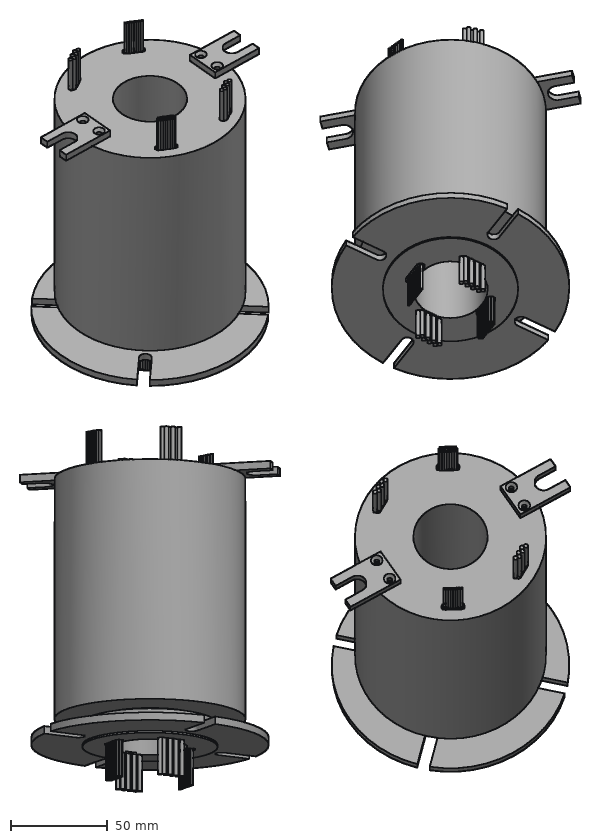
import cadquery as cq
import math

drum_height = 127.0
neck_height = 1.8
collar_height = 8.0
flange_thickness = 4.0
end_disc_thickness = 1.0
wire_length = 19.0

drum_diameter = 99.0
neck_diameter = 54.5
collar_diameter = 68.0
flange_diameter = 123.0
end_disc_diameter = 70.0
bore_diameter = 38.4

flange_slot_count = 4
flange_slot_width = 6.6
flange_slot_inner_radius = 39.6

tab_width = 19.6
tab_thickness = 4.0
tab_outer_y = 67.0
tab_inner_y = 36.5
fork_width = 9.5
fork_end_y = 52.0
screw_x = 6.35
screw_y = 41.0
screw_hole_diameter = 2.7
screw_sink_diameter = 6.0
screw_sink_angle = 90.0
screw_tap_diameter = 1.7
screw_tap_depth = 6.0

outlet_width = 4.1
outlet_depth = 1.0
wire_gap = 0.06
thick_wire_diameter = 2.2
thick_wire_stagger = 1.42
thin_wire_diameter = 1.2
top_outlet_radius = 41.2
top_outlet_angle = 30.0
top_outlet_length = 12.0
top_thick_wires = 6
top_thin_wires = 8
bottom_outlet_radius = 21.5
bottom_outlet_angle = 45.0
bottom_outlet_length = 15.0
bottom_thick_wires = 8
bottom_thin_wires = 11

drum_bottom = -drum_height
neck_bottom = drum_bottom - neck_height
collar_bottom = neck_bottom - collar_height
flange_bottom = collar_bottom - flange_thickness
end_disc_bottom = flange_bottom - end_disc_thickness


def disc(diameter, bottom, top):
    """Upright cylinder on the main axis between two levels."""
    return cq.Workplane("XY").workplane(offset=bottom).circle(diameter / 2).extrude(top - bottom)


def make_flange():
    """Flange with round-ended slots open to its rim, midway between the axes."""
    flange = disc(flange_diameter, flange_bottom, collar_bottom)
    inner_center = flange_slot_inner_radius + flange_slot_width / 2
    slot_reach = flange_diameter / 2
    slot = (
        cq.Workplane("XY")
        .workplane(offset=flange_bottom)
        .center(inner_center + slot_reach / 2, 0)
        .slot2D(slot_reach + flange_slot_width, flange_slot_width)
        .extrude(flange_thickness)
    )
    spacing = 360 / flange_slot_count
    for index in range(flange_slot_count):
        flange = flange.cut(slot.rotate((0, 0, 0), (0, 0, 1), spacing * (index + 0.5)))
    return flange


def make_core():
    """Drum, neck, collar, flange and end disc around the through bore."""
    core = disc(drum_diameter, drum_bottom, 0)
    core = core.union(disc(neck_diameter, neck_bottom, drum_bottom))
    core = core.union(disc(collar_diameter, collar_bottom, neck_bottom))
    core = core.union(make_flange())
    core = core.union(disc(end_disc_diameter, end_disc_bottom, flange_bottom))
    return core.cut(disc(bore_diameter, end_disc_bottom, 0))


def make_tab():
    """Forked tab on the +Y side, its fork open outward."""
    tab = (
        cq.Workplane("XY")
        .center(0, (tab_inner_y + tab_outer_y) / 2)
        .rect(tab_width, tab_outer_y - tab_inner_y)
        .extrude(tab_thickness)
    )
    arc_center_y = fork_end_y + fork_width / 2
    fork = (
        cq.Workplane("XY")
        .moveTo(-fork_width / 2, tab_outer_y)
        .lineTo(-fork_width / 2, arc_center_y)
        .threePointArc((0, fork_end_y), (fork_width / 2, arc_center_y))
        .lineTo(fork_width / 2, tab_outer_y)
        .close()
        .extrude(tab_thickness)
    )
    return (
        tab.cut(fork)
        .faces(">Z")
        .workplane(origin=(0, 0, tab_thickness))
        .pushPoints([(-screw_x, screw_y), (screw_x, screw_y)])
        .cskHole(screw_hole_diameter, screw_sink_diameter, screw_sink_angle)
    )


def make_tapped_holes():
    """Blind screw holes in the drum under the +Y tab."""
    return (
        cq.Workplane("XY")
        .pushPoints([(-screw_x, screw_y), (screw_x, screw_y)])
        .circle(screw_tap_diameter / 2)
        .extrude(-screw_tap_depth)
    )


def row_points(count, pitch, across=0):
    """Evenly spaced wire centres on one row, as (across, along) pairs."""
    return [(across, pitch * (index - (count - 1) / 2)) for index in range(count)]


def zigzag_points(count):
    """Thick wires side by side in a zigzag, the first one nearest the main axis."""
    spacing = thick_wire_diameter + wire_gap
    pitch = math.sqrt(spacing**2 - thick_wire_stagger**2)
    points = []
    for index, (_, along) in enumerate(row_points(count, pitch)):
        side = -1 if index % 2 == 0 else 1
        points.append((side * thick_wire_stagger / 2, along))
    return points


def packed_points(count):
    """Thin wires in three close-packed rows, the outer two one wire shorter."""
    pitch = thin_wire_diameter + wire_gap
    row_spacing = pitch * math.sqrt(3) / 2
    points = row_points(count, pitch)
    for across in (-row_spacing, row_spacing):
        points += row_points(count - 1, pitch, across)
    return points


def single_row_points(count):
    """Thin wires in one row on the middle of the outlet."""
    return row_points(count, thin_wire_diameter + wire_gap)


def make_bundle(points, diameter):
    """Wires that stand on the outlet floor and rise above Z = 0."""
    return (
        cq.Workplane("XY")
        .workplane(offset=-outlet_depth)
        .pushPoints(points)
        .circle(diameter / 2)
        .extrude(outlet_depth + wire_length)
    )


def make_outlets(length, radius, angle, thick_wires, thin_wires):
    """Pockets and wire bundles, one of each per quadrant, for an end face at Z = 0."""
    pocket = cq.Workplane("XY").slot2D(length, outlet_width, 90).extrude(-outlet_depth)
    thick = make_bundle(zigzag_points(thick_wires), thick_wire_diameter)
    single = make_bundle(single_row_points(thin_wires), thin_wire_diameter)
    packed = make_bundle(packed_points(thin_wires), thin_wire_diameter)

    def place(shape, turn):
        return shape.translate((radius, 0, 0)).rotate((0, 0, 0), (0, 0, 1), turn)

    quadrants = [
        (thick, angle),
        (single, 180 - angle),
        (thick, 180 + angle),
        (packed, -angle),
    ]
    pockets = [place(pocket, turn) for _, turn in quadrants]
    bundles = [place(bundle, turn) for bundle, turn in quadrants]
    return pockets, bundles


def to_bottom(shape):
    """Mirror a shape from the drum top onto the end disc."""
    return shape.mirror("XY").translate((0, 0, end_disc_bottom))


def add_wires(body):
    """Cut the outlets of both ends, then stand the wires in them."""
    pockets, bundles = make_outlets(
        top_outlet_length, top_outlet_radius, top_outlet_angle, top_thick_wires, top_thin_wires
    )
    bottom_pockets, bottom_bundles = make_outlets(
        bottom_outlet_length,
        bottom_outlet_radius,
        bottom_outlet_angle,
        bottom_thick_wires,
        bottom_thin_wires,
    )
    pockets += [to_bottom(pocket) for pocket in bottom_pockets]
    bundles += [to_bottom(bundle) for bundle in bottom_bundles]
    for pocket in pockets:
        body = body.cut(pocket)
    for bundle in bundles:
        body = body.union(bundle)
    return body


def add_tabs(body):
    """Fasten a forked tab at each Y end of the drum top."""
    tab = make_tab()
    holes = make_tapped_holes()
    for angle in (0, 180):
        body = body.union(tab.rotate((0, 0, 0), (0, 0, 1), angle))
        body = body.cut(holes.rotate((0, 0, 0), (0, 0, 1), angle))
    return body


result = add_wires(add_tabs(make_core()))